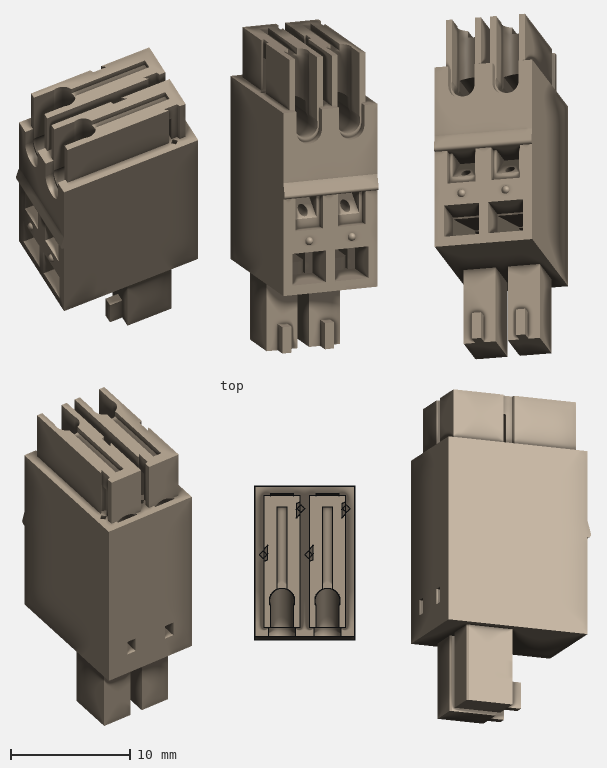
import cadquery as cq


total_height = 26.8
housing_width = 8.42
housing_depth = 12.57
housing_bottom = 6.55
housing_top = 22.43

pole_pitch = 3.8
pole_centres = [-pole_pitch / 2, pole_pitch / 2]

bead_top = 16.35
bead_bottom = 14.95
bead_reach = 0.4
bead_radius = 0.27

mark_radius = 0.35
mark_reach = 0.32
mark_height = 11.1

test_width = 2.47
test_bottom = 12.05
test_depth = 0.8
ramp_width = 1.95
ramp_bottom = 12.86
ramp_run = 2.8
probe_diameter = 0.8
probe_height = 13.4
probe_depth = 4.02
probe_notch_width = 0.1
probe_notch_depth = 0.27

entry_bottom = 7.37
entry_height = 2.75
entry_depth = 3.22
funnel_width = 2.35
funnel_bottom = 8.45
funnel_top = 9.97
funnel_length = 3.22
passage_width = 0.85
passage_bottom = 8.52
passage_top = 9.85
corner_diameter = 1.2

plunger_width = 3.0
plunger_front = 0.72
plunger_back = 11.8
plunger_bottom = 18.22
bore_diameter = 2.1
bore_back = 4.02
channel_width = 1.95
channel_bottom = 19.9
tunnel_top = 22.67
tunnel_crown_rise = 0.4
slit_width = 0.8
slit_back = 10.83
slit_depth = 0.55

groove_depth = 0.3
groove_inner_front = 6.4
groove_inner_back = 7.65
groove_outer_front = 6.27
groove_outer_back = 7.3
groove_pocket_front = 6.91
groove_pocket_depth = 1.47
groove_pocket_top = 25.2
groove_symmetry_y = 8.76

keyway_y = 6.83
keyway_offset = 1.58
keyway_half_diagonal = 0.32
keyway_depth = 0.54

finger_slot_width = 2.28
finger_slot_bottom = 19.56
relief_depth = 0.2

plug_width = 2.75
plug_front = 6.4
plug_back = 10.53
plug_chamfer_length = 0.2
plug_chamfer_width = 0.08
tab_width = 0.8
tab_length = 1.15
tab_height = 2.28


def block(x_centre, width, y_front, y_back, z_bottom, z_top):
    """Box placed by its X centre and width and by its Y and Z limits."""
    return (
        cq.Workplane("XY")
        .box(width, y_back - y_front, z_top - z_bottom, centered=(True, False, False))
        .translate((x_centre, y_front, z_bottom))
    )


def prism(points, z_bottom, z_top):
    """Upright prism over an XY outline."""
    return cq.Workplane("XY", origin=(0, 0, z_bottom)).polyline(points).close().extrude(z_top - z_bottom)


def cross_prism(points, x_centre, width):
    """Prism along X over a YZ outline."""
    start = (x_centre - width / 2, 0, 0)
    return cq.Workplane("YZ", origin=start).polyline(points).close().extrude(width)


def y_cylinder(x_centre, z_centre, diameter, y_front, y_back):
    """Cylinder along Y."""
    return (
        cq.Workplane("XZ", origin=(x_centre, y_front, z_centre))
        .circle(diameter / 2)
        .extrude(y_front - y_back)
    )


def plunger_blank(x):
    return block(x, plunger_width, plunger_front, plunger_back, plunger_bottom, total_height)


def channel(x):
    """Open front channel with a round floor, ending in an upright bore."""
    bore_radius = bore_diameter / 2
    floor_axis = channel_bottom + bore_radius
    bore_y = bore_back - bore_radius
    walls = block(x, channel_width, plunger_front, bore_y, floor_axis, total_height)
    floor = y_cylinder(x, floor_axis, bore_diameter, plunger_front, bore_y)
    bore = (
        cq.Workplane("XY", origin=(x, bore_y, floor_axis))
        .circle(bore_radius)
        .extrude(total_height - floor_axis)
    )
    return walls.union(floor).union(bore)


def tunnel(x):
    """Passage from the channel out through the back of the plunger."""
    floor_axis = channel_bottom + bore_diameter / 2
    crown = (
        cq.Workplane("XZ", origin=(x, plunger_front, 0))
        .moveTo(-channel_width / 2, floor_axis)
        .lineTo(-channel_width / 2, tunnel_top - tunnel_crown_rise)
        .threePointArc((0, tunnel_top), (channel_width / 2, tunnel_top - tunnel_crown_rise))
        .lineTo(channel_width / 2, floor_axis)
        .close()
        .extrude(plunger_front - plunger_back)
    )
    return crown.union(y_cylinder(x, floor_axis, bore_diameter, plunger_front, plunger_back))


def side_groove(x):
    """Undercut groove in the -X side, with a deeper slanted pocket low in its floor."""
    outer = x - plunger_width / 2
    inner = outer + groove_depth
    groove_plan = [
        (outer, groove_outer_front),
        (inner, groove_inner_front),
        (inner, groove_inner_back),
        (outer, groove_outer_back),
    ]
    pocket_plan = [
        (inner, groove_pocket_front),
        (inner + groove_pocket_depth, groove_pocket_front),
        (inner, groove_inner_back),
    ]
    groove = prism(groove_plan, housing_top, total_height)
    return groove.union(prism(pocket_plan, housing_top, groove_pocket_top))


def keyway(x):
    """Square keyway, set on edge, shared by the plunger and the wall beside it."""
    centre = x - keyway_offset
    plan = [
        (centre - keyway_half_diagonal, keyway_y),
        (centre, keyway_y - keyway_half_diagonal),
        (centre + keyway_half_diagonal, keyway_y),
        (centre, keyway_y + keyway_half_diagonal),
    ]
    return prism(plan, housing_top - keyway_depth, housing_top)


def half_turn(shape, x):
    """Shape turned half round about the upright symmetry line of a pole."""
    return shape.rotate((x, groove_symmetry_y, 0), (x, groove_symmetry_y, 1), 180)


def make_plunger(x):
    slit_bottom = total_height - slit_depth
    slit = block(x, slit_width, bore_back - bore_diameter / 2, slit_back, slit_bottom, total_height)
    groove = side_groove(x).union(keyway(x))
    body = plunger_blank(x).cut(channel(x)).cut(tunnel(x)).cut(slit)
    return body.cut(groove).cut(half_turn(groove, x))


def make_plug(x):
    body = block(x, plug_width, plug_front, plug_back, 0, housing_bottom)
    left = x - plug_width / 2
    chamfer_plan = [
        (left, plug_back),
        (left, plug_back - plug_chamfer_length),
        (left + plug_chamfer_width, plug_back),
    ]
    body = body.cut(prism(chamfer_plan, 0, housing_bottom))
    tab = block(x, tab_width, plug_front - tab_length, plug_front, 0, tab_height)
    return body.union(tab)


def bead():
    profile = [(0, bead_bottom), (-bead_reach, bead_bottom), (0, bead_top)]
    return cross_prism(profile, 0, housing_width).edges("|X and <Y").fillet(bead_radius)


def mark(x):
    """Dome with its pole pointing forwards."""
    ball = cq.Workplane("XY").sphere(mark_radius).rotate((0, 0, 0), (1, 0, 0), 90)
    return ball.translate((x, mark_radius - mark_reach, mark_height))


def probe_notch(x):
    """One-sided V notch in the floor of the probe hole."""
    notch_back = probe_depth + probe_notch_depth
    half_floor = probe_notch_width / 2
    half_hole = probe_diameter / 2
    plan = [
        (x - half_floor, probe_depth),
        (x - half_floor, notch_back),
        (x + half_floor, notch_back),
        (x + half_hole, probe_depth),
    ]
    wedge = prism(plan, probe_height - half_hole, probe_height + half_hole)
    return wedge.intersect(y_cylinder(x, probe_height, probe_diameter, probe_depth, notch_back))


def test_window(x):
    """Recess under the bead with a narrower ramp and a notched probe hole behind it."""
    recess = block(x, test_width, 0, test_depth, test_bottom, bead_bottom)
    ramp_profile = [
        (test_depth, ramp_bottom),
        (test_depth, bead_bottom),
        (test_depth + ramp_run, bead_bottom),
    ]
    ramp = cross_prism(ramp_profile, x, ramp_width)
    probe = y_cylinder(x, probe_height, probe_diameter, test_depth, probe_depth)
    return recess.union(ramp).union(probe).union(probe_notch(x))


def wire_entry(x):
    """Rectangular entry, a one-sided funnel, a through passage and a rounded corner pocket."""
    left = x - plunger_width / 2
    step = left + funnel_width
    passage_left = x - passage_width / 2
    funnel_back = entry_depth + funnel_length
    corner_radius = corner_diameter / 2

    entry = block(x, plunger_width, 0, entry_depth, entry_bottom, entry_bottom + entry_height)
    funnel_plan = [
        (left, entry_depth),
        (step, entry_depth),
        (step, funnel_back),
        (passage_left, funnel_back),
    ]
    funnel = prism(funnel_plan, funnel_bottom, funnel_top)
    passage = block(x, passage_width, entry_depth, housing_depth, passage_bottom, passage_top)
    corner = block(
        step - corner_radius / 2, corner_radius,
        entry_depth, entry_depth + corner_radius, entry_bottom, funnel_bottom,
    )
    corner_post = (
        cq.Workplane("XY", origin=(step - corner_radius, entry_depth + corner_radius, entry_bottom))
        .circle(corner_radius)
        .extrude(funnel_bottom - entry_bottom)
    )
    return entry.union(funnel).union(passage).union(corner.cut(corner_post))


def finger_slot(x):
    """Round-bottomed slot through the front wall, open at the top."""
    axis = finger_slot_bottom + finger_slot_width / 2
    walls = block(x, finger_slot_width, 0, plunger_front, axis, housing_top)
    return walls.union(y_cylinder(x, axis, finger_slot_width, 0, plunger_front))


def back_relief(x):
    """Shallow wedge in the back wall behind the tunnel."""
    profile = [
        (plunger_back, plunger_bottom),
        (plunger_back + relief_depth, housing_top),
        (plunger_back, housing_top),
    ]
    return cross_prism(profile, x, channel_width)


def make_housing():
    body = block(0, housing_width, 0, housing_depth, housing_bottom, housing_top).union(bead())
    for x in pole_centres:
        body = body.union(mark(x))
        body = body.cut(plunger_blank(x))
        body = body.cut(finger_slot(x)).cut(back_relief(x))
        body = body.cut(keyway(x)).cut(half_turn(keyway(x), x))
        body = body.cut(test_window(x)).cut(wire_entry(x))
    return body


housing = make_housing()
plungers = [make_plunger(x).val() for x in pole_centres]
plugs = [make_plug(x).val() for x in pole_centres]

result = cq.Compound.makeCompound([housing.val(), *plungers, *plugs])